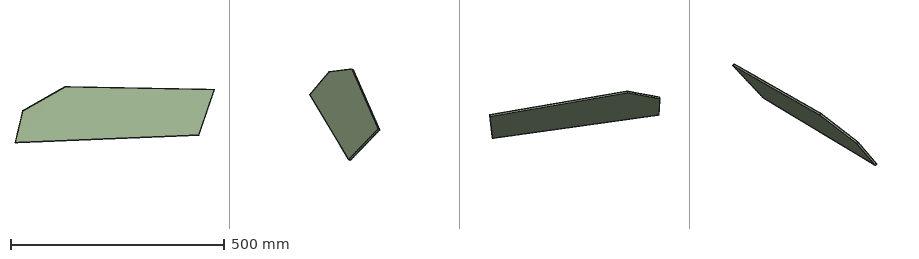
import cadquery as cq

length, height = 421.7, 112.5
thickness = 5.0

crease_top = cq.Vector(86.5, 109.2, height)
far_top = cq.Vector(length, 210.5, height)
crease_bottom = cq.Vector(1.3, 0, 3.0)
bent_corner = cq.Vector(4.0, 46.0, 65.5)

top_edge = far_top - crease_top
crease = crease_bottom - crease_top
normal = crease.cross(top_edge).normalized()
if normal.z < 0:
    normal = -normal

far_bottom_x, far_bottom_z = 408.2, 24.0
far_bottom_y = crease_top.y - (
    normal.x * (far_bottom_x - crease_top.x) + normal.z * (far_bottom_z - crease_top.z)
) / normal.y
far_bottom = cq.Vector(far_bottom_x, far_bottom_y, far_bottom_z)


def panel(corners):
    """Thicken a flat outline downward along the main panel's normal."""
    outline = cq.Wire.makePolygon(corners, close=True)
    face = cq.Face.makeFromWires(outline)
    return cq.Workplane(cq.Solid.extrudeLinear(face, normal * -thickness))


main_panel = panel([crease_top, far_top, far_bottom, crease_bottom])
bent_panel = panel([crease_top, crease_bottom, bent_corner])

result = main_panel.union(bent_panel)